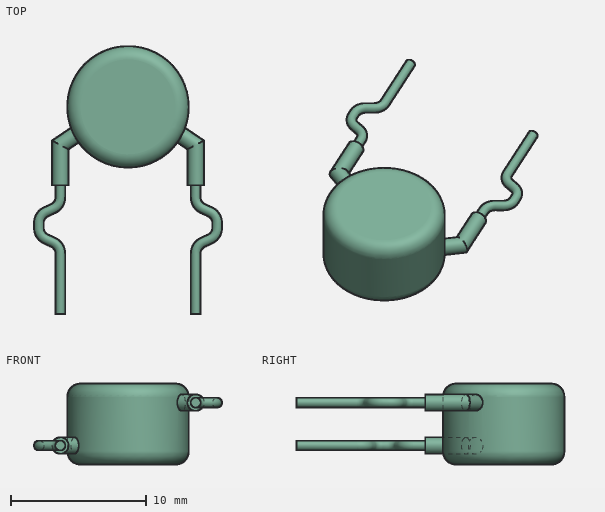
import cadquery as cq
import math


overall_length = 19.81

disc_diameter = 9.0
disc_height = 6.0
disc_fillet = 1.0
disc_radius = disc_diameter / 2

sides = (-1, 1)
lead_spacing = 10.0
lead_height = 1.58
lead_x = lead_spacing / 2
lead_tip_y = disc_radius - overall_length

sleeve_diameter = 1.23
sleeve_end_y = -5.8
elbow_y = -2.81
root_angle = math.radians(34.0)
root_length = 3.57

wire_diameter = 0.73
kink_start_y = -6.7
kink_offset = 1.58
kink_angle = math.radians(65.0)
kink_radius = 0.9
crest_length = 0.38

bend_out = kink_radius * (1 - math.cos(kink_angle))
bend_drop = kink_radius * math.sin(kink_angle)
ramp_out = kink_offset - 2 * bend_out
ramp_drop = ramp_out / math.tan(kink_angle)
crest_x = lead_x + kink_offset
crest_start_y = kink_start_y - 2 * bend_drop - ramp_drop
crest_end_y = crest_start_y - crest_length
kink_end_y = crest_end_y - 2 * bend_drop - ramp_drop


def sweep_round_bar(path, diameter, side):
    """Sweep a circle along a path that starts at the sleeve end of the lead on that side."""
    start = (side * lead_x, sleeve_end_y, side * lead_height)
    section = cq.Workplane("XZ", origin=start).circle(diameter / 2)
    return section.sweep(path, transition="right")


def make_disc():
    disc = cq.Workplane("XY").workplane(offset=-disc_height / 2).circle(disc_radius).extrude(disc_height)
    return disc.faces("|Z").edges().fillet(disc_fillet)


def make_sleeve(side):
    root_x = lead_x - root_length * math.cos(root_angle)
    root_y = elbow_y + root_length * math.sin(root_angle)
    path = (
        cq.Workplane("XY", origin=(0, 0, side * lead_height))
        .moveTo(side * lead_x, sleeve_end_y)
        .lineTo(side * lead_x, elbow_y)
        .lineTo(side * root_x, root_y)
    )
    return sweep_round_bar(path, sleeve_diameter, side)


def make_coated_body():
    """Disc and both lead sleeves, one continuous coating."""
    body = make_disc()
    for side in sides:
        body = body.union(make_sleeve(side))
    return body.solids()


def make_wire(side):
    """Bare wire from the end face of the sleeve to the lead tip."""
    inner_x = side * (lead_x + bend_out)
    outer_x = side * (crest_x - bend_out)
    path = (
        cq.Workplane("XY", origin=(0, 0, side * lead_height))
        .moveTo(side * lead_x, sleeve_end_y)
        .lineTo(side * lead_x, kink_start_y)
        .tangentArcPoint((inner_x, kink_start_y - bend_drop), relative=False)
        .lineTo(outer_x, crest_start_y + bend_drop)
        .tangentArcPoint((side * crest_x, crest_start_y), relative=False)
        .lineTo(side * crest_x, crest_end_y)
        .tangentArcPoint((outer_x, crest_end_y - bend_drop), relative=False)
        .lineTo(inner_x, kink_end_y + bend_drop)
        .tangentArcPoint((side * lead_x, kink_end_y), relative=False)
        .lineTo(side * lead_x, lead_tip_y)
    )
    return sweep_round_bar(path, wire_diameter, side)


coated_body = make_coated_body()
wires = [make_wire(side).val() for side in sides]

result = cq.Compound.makeCompound([coated_body.val(), *wires])